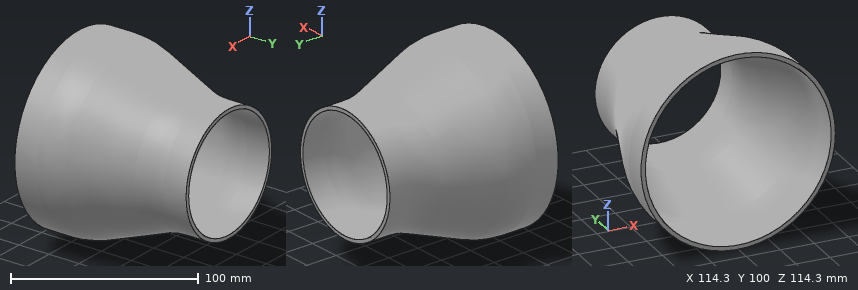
import cadquery as cq
import math

length = 100.0
collar_length = 15.0
bend_radius = 50.0
large_outer_diameter = 114.3
large_inner_diameter = 109.2
small_outer_diameter = 76.1
small_inner_diameter = 71.5

large_wall = (large_outer_diameter - large_inner_diameter) / 2
small_wall = (small_outer_diameter - small_inner_diameter) / 2
small_collar_start = length - collar_length


def tangent_cone_angle(radius_drop, bend_radius_sum):
    """Slope of the cone against the axis that meets both bends tangentially.

    It is the inner common tangent of the two bend circles, whose centres lie
    level with the inner ends of the collars, on opposite sides of the wall.
    """
    axial_gap = small_collar_start - collar_length
    radial_gap = bend_radius_sum - radius_drop
    centre_distance = math.hypot(axial_gap, radial_gap)
    return math.atan2(axial_gap, radial_gap) - math.acos(bend_radius_sum / centre_distance)


def reducer_body(large_diameter, small_diameter, large_bend_radius, small_bend_radius):
    """Solid of revolution: large collar, convex bend, cone, concave bend, small collar."""
    large_radius = large_diameter / 2
    small_radius = small_diameter / 2
    angle = tangent_cone_angle(large_radius - small_radius, large_bend_radius + small_bend_radius)

    cone_start = (
        large_radius - large_bend_radius * (1 - math.cos(angle)),
        collar_length + large_bend_radius * math.sin(angle),
    )
    cone_end = (
        small_radius + small_bend_radius * (1 - math.cos(angle)),
        small_collar_start - small_bend_radius * math.sin(angle),
    )

    return (
        cq.Workplane("XY")
        .lineTo(large_radius, 0)
        .lineTo(large_radius, collar_length)
        .tangentArcPoint(cone_start, relative=False)
        .lineTo(*cone_end)
        .tangentArcPoint((small_radius, small_collar_start), relative=False)
        .lineTo(small_radius, length)
        .lineTo(0, length)
        .close()
        .revolve(360, (0, 0, 0), (0, 1, 0))
    )


outer_body = reducer_body(large_outer_diameter, small_outer_diameter, bend_radius, bend_radius)

bore = reducer_body(
    large_inner_diameter,
    small_inner_diameter,
    bend_radius - large_wall,
    bend_radius + small_wall,
)

result = outer_body.cut(bore)